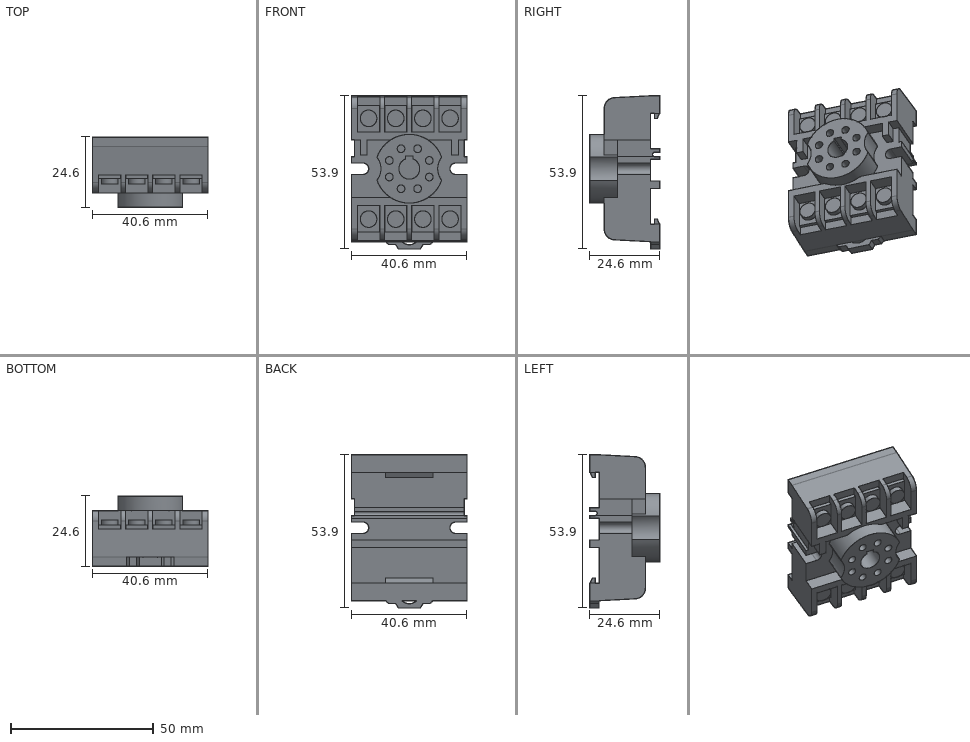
import cadquery as cq
import math


width = 40.65
overall_height = 53.85
body_height = 51.3
body_depth = 19.6
half_height = body_height / 2
foot_depth = 3.3
draft_angle = 3.0
corner_radius = 3.8

floor_depth = 14.9
band_half_height = 10.1

foot_height = 6.2
upper_feet_top = 18.65
upper_feet_bottom = 22.35
lower_foot_top = 29.95
lower_foot_bottom = 32.65
groove_top = 19.85
groove_bottom = 21.4
groove_depth = 2.6

hook_width = 16.7
hook_rear = 0.1
hook_front = 2.0
hook_tip_rear = 0.9
hook_length = 1.85

relief_inset = 1.0
relief_bottom = 21.45
leg_width = 2.35
leg_inset = 3.1
leg_length = 5.2
slot_height = 3.95
slot_length = 6.05

pocket_count = 4
pocket_pitch = 9.55
pocket_width = 7.85
pocket_length = 12.8
pocket_floor = 13.2
plate_gap = 0.1
plate_start = 3.5
plate_front = 14.5
screw_radius = 2.9
screw_from_end = 7.95
screw_front = 16.35

boss_radius = 12.05
boss_front = 24.65
notch_radius = 6.55
notch_floor = 9.95
pin_count = 8
pin_circle_radius = 7.6
pin_radius = 1.35
spigot_radius = 3.65
key_width = 2.6
key_reach = 4.4

tab_length = overall_height - body_height
tab_shoulder = 0.95
tab_root_half_width = 8.35
tab_shoulder_half_width = 7.25
tab_neck_half_width = 4.85
tab_end_half_width = 3.9
tab_hole_radius = 3.65


def block(x_min, x_max, depth_min, depth_max, z_min, z_max):
    """Box between two X, two Z and two distances in front of the rear side."""
    size = (x_max - x_min, depth_max - depth_min, z_max - z_min)
    return cq.Workplane("XY").box(*size, centered=False).translate((x_min, -depth_max, z_min))


def full_width_block(depth_min, depth_max, z_min, z_max):
    return block(-width / 2, width / 2, depth_min, depth_max, z_min, z_max)


def facing_front(depth):
    """Sketch plane parallel to XZ whose extrusions run toward the front."""
    return cq.Workplane("XZ", origin=(0, -depth, 0))


def mirrored_pair(shape, plane):
    return shape.union(shape.mirror(plane))


def make_body():
    front_half_height = half_height - (body_depth - foot_depth) * math.tan(math.radians(draft_angle))
    body = (
        cq.Workplane("YZ")
        .moveTo(0, -half_height)
        .lineTo(0, half_height)
        .lineTo(-foot_depth, half_height)
        .lineTo(-body_depth, front_half_height)
        .lineTo(-body_depth, -front_half_height)
        .lineTo(-foot_depth, -half_height)
        .close()
        .extrude(width / 2, both=True)
    )
    body = body.edges("|X and <Y").fillet(corner_radius)
    return body.cut(full_width_block(floor_depth, body_depth, -band_half_height, band_half_height))


def cut_rear(body):
    """Leave the two end feet and three narrow feet standing at the rear,
    with a round-bottomed groove between the upper two.
    """
    spaces = (
        (foot_height, upper_feet_top),
        (upper_feet_bottom, lower_foot_top),
        (lower_foot_bottom, body_height - foot_height),
    )
    for top, bottom in spaces:
        body = body.cut(full_width_block(0, foot_depth, half_height - bottom, half_height - top))

    groove_radius = (groove_bottom - groove_top) / 2
    groove_center = half_height - (groove_top + groove_bottom) / 2
    groove_end = groove_depth - groove_radius
    groove = full_width_block(0, groove_end, groove_center - groove_radius, groove_center + groove_radius)
    groove_round = (
        cq.Workplane("YZ")
        .center(-groove_end, groove_center)
        .circle(groove_radius)
        .extrude(width / 2, both=True)
    )
    return body.cut(groove).cut(groove_round)


def make_hooks():
    lip = half_height - foot_height
    hook = (
        cq.Workplane("YZ")
        .moveTo(-hook_rear, lip)
        .lineTo(-hook_front, lip)
        .lineTo(-hook_front, lip - hook_length)
        .lineTo(-hook_tip_rear, lip - hook_length)
        .close()
        .extrude(hook_width / 2, both=True)
    )
    return mirrored_pair(hook, "XY")


def make_side_cuts():
    """Shallow side reliefs and the round-ended screw slots."""
    edge = width / 2
    relief = block(edge - relief_inset, edge, 0, body_depth, half_height - relief_bottom, band_half_height)
    slot_radius = slot_height / 2
    slot_center = edge - slot_length + slot_radius
    slot = block(slot_center, edge, 0, body_depth, -slot_radius, slot_radius)
    slot_round = facing_front(0).center(slot_center, 0).circle(slot_radius).extrude(body_depth)
    return mirrored_pair(relief.union(slot).union(slot_round), "YZ")


def make_legs():
    leg_outer = width / 2 - leg_inset
    leg_bottom = band_half_height - leg_length
    leg = block(leg_outer - leg_width, leg_outer, floor_depth, body_depth, leg_bottom, band_half_height)
    return mirrored_pair(leg, "YZ")


def pocket_centers():
    return [(i - (pocket_count - 1) / 2) * pocket_pitch for i in range(pocket_count)]


def cut_pockets(body):
    pocket_bottom = half_height - pocket_length
    for x in pocket_centers():
        pocket = block(
            x - pocket_width / 2, x + pocket_width / 2,
            pocket_floor, body_depth,
            pocket_bottom, half_height,
        )
        body = body.cut(mirrored_pair(pocket, "XY"))
    return body


def add_terminals(body):
    half_plate = pocket_width / 2 - plate_gap
    plate_bottom = half_height - pocket_length + plate_gap
    for x in pocket_centers():
        plate = block(
            x - half_plate, x + half_plate,
            pocket_floor, plate_front,
            plate_bottom, half_height - plate_start,
        )
        screw = (
            facing_front(plate_front)
            .center(x, half_height - screw_from_end)
            .circle(screw_radius)
            .extrude(screw_front - plate_front)
        )
        body = body.union(mirrored_pair(plate.union(screw), "XY"))
    return body


def make_boss():
    boss_height = boss_front - floor_depth
    notch_center = notch_floor + notch_radius
    boss = facing_front(floor_depth).circle(boss_radius).extrude(boss_height)
    notches = (
        facing_front(floor_depth)
        .pushPoints([(-notch_center, 0), (notch_center, 0)])
        .circle(notch_radius)
        .extrude(boss_height)
    )
    return boss.cut(notches)


def make_boss_holes():
    """Pin holes, central hole and key slot, all as deep as the boss."""
    boss_height = boss_front - floor_depth
    half_pin_step = 180 / pin_count
    pins = (
        facing_front(floor_depth)
        .polarArray(pin_circle_radius, half_pin_step, 360, pin_count)
        .circle(pin_radius)
        .extrude(boss_height)
    )
    spigot = facing_front(floor_depth).circle(spigot_radius).extrude(boss_height)
    key = block(-key_width / 2, key_width / 2, floor_depth, boss_front, 0, key_reach)
    return pins.union(spigot).union(key)


def make_tab():
    shoulder = -half_height - tab_shoulder
    end = -half_height - tab_length
    right_side = [
        (tab_root_half_width, -half_height),
        (tab_shoulder_half_width, shoulder),
        (tab_neck_half_width, shoulder),
        (tab_end_half_width, end),
    ]
    left_side = [(-x, z) for x, z in reversed(right_side)]
    tab = facing_front(0).polyline(right_side + left_side).close().extrude(foot_depth)
    hole = facing_front(0).center(0, shoulder + tab_hole_radius).circle(tab_hole_radius).extrude(foot_depth)
    return tab.cut(hole)


result = cut_rear(make_body())
result = result.cut(make_side_cuts())
result = add_terminals(cut_pockets(result))
for feature in (make_hooks(), make_legs(), make_boss(), make_tab()):
    result = result.union(feature)
result = result.cut(make_boss_holes())